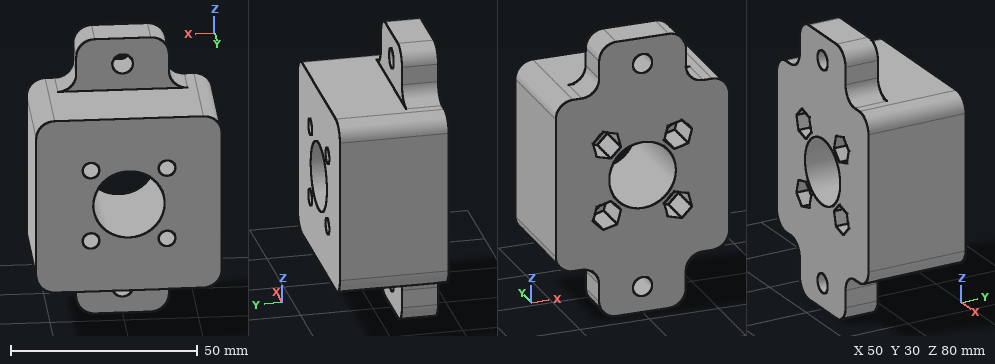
import cadquery as cq

body_width = 50.0
body_depth = 30.0
flange_height = 80.0
flange_thickness = 10.0
corner_radius = 5.0
tab_hole_diameter = 5.5
bore_diameter = 19.2
bolt_spacing = 20.5
bolt_hole_diameter = 4.5
nut_across_corners = 8.3
nut_pocket_depth = 10.0

body_height = body_width
tab_width = body_width / 2
tab_hole_z = (flange_height + body_height) / 4
front_y = -body_depth / 2

front_plane = cq.Plane(origin=(0, front_y, 0), xDir=(1, 0, 0), normal=(0, -1, 0))


def rounded_slab(width, height, thickness):
    """Slab from the front face back along +Y, with its four corners rounded."""
    slab = cq.Workplane(front_plane).rect(width, height).extrude(-thickness)
    return slab.edges("|Y").fillet(corner_radius)


def inside_corner_fill(side, end):
    """Concave fillet material where a tab meets the body on one side and end."""
    corner_x = side * tab_width / 2
    corner_z = end * body_height / 2
    block = (
        cq.Workplane(front_plane)
        .center(corner_x + side * corner_radius / 2, corner_z + end * corner_radius / 2)
        .rect(corner_radius, corner_radius)
        .extrude(-flange_thickness)
    )
    round_cut = (
        cq.Workplane(front_plane)
        .center(corner_x + side * corner_radius, corner_z + end * corner_radius)
        .circle(corner_radius)
        .extrude(-flange_thickness)
    )
    return block.cut(round_cut)


def through_holes(points, diameter):
    """Round cutters along the whole body depth."""
    return cq.Workplane(front_plane).pushPoints(points).circle(diameter / 2).extrude(-body_depth)


def nut_pocket(side, end):
    """Hexagonal pocket with one flat facing the bore."""
    corner_angle = side * end * 45 + 30
    return (
        cq.Workplane(front_plane)
        .center(side * bolt_spacing / 2, end * bolt_spacing / 2)
        .transformed(rotate=(0, 0, corner_angle))
        .polygon(6, nut_across_corners)
        .extrude(-nut_pocket_depth)
    )


quadrants = [(side, end) for side in (-1, 1) for end in (-1, 1)]

result = rounded_slab(body_width, body_height, body_depth)
result = result.union(rounded_slab(tab_width, flange_height, flange_thickness))
for side, end in quadrants:
    result = result.union(inside_corner_fill(side, end))

bolt_points = [(side * bolt_spacing / 2, end * bolt_spacing / 2) for side, end in quadrants]
result = result.cut(through_holes([(0, 0)], bore_diameter))
result = result.cut(through_holes([(0, -tab_hole_z), (0, tab_hole_z)], tab_hole_diameter))
result = result.cut(through_holes(bolt_points, bolt_hole_diameter))

for side, end in quadrants:
    result = result.cut(nut_pocket(side, end))